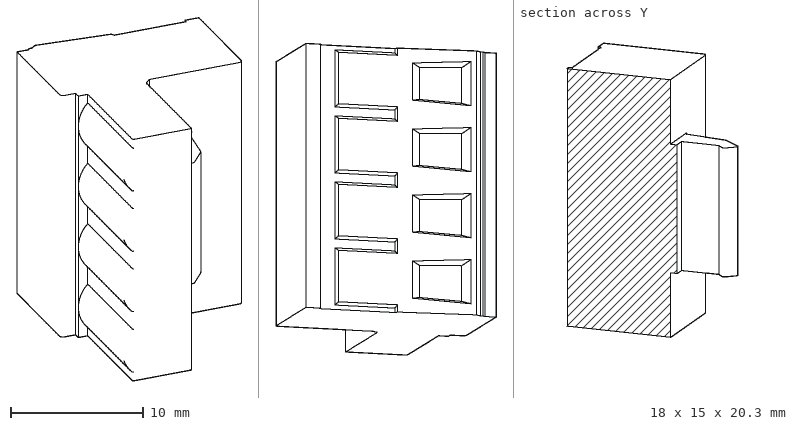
import cadquery as cq


pole_count = 4
pitch = 5.08
height = pole_count * pitch
overall_length = 18.0
body_width = 15.0

body_back_x = 0.5
body_front_x = 8.9
corner_radius = 0.3

recess_depth = 0.25
recess_x = body_back_x + recess_depth
recess_top_y = 13.85
recess_bottom_y = 7.93

wedge_top_y = 7.78
wedge_bottom_y = 1.7
ledge_x = 0.33
ledge_top_y = 1.3
ledge_bottom_y = 1.08
foot_y = 0.9

shoulder_x = 9.42
shoulder_bottom_y = 1.2
plug_bottom_y = 1.98
plug_top_y = 6.84
plug_root_chamfer = 0.45
plug_tip_radius = 0.15

rib_radius = 2.54
rib_bottom_y = 1.21

pad_top_y = 12.65
pad_height = 4.4
pad_bevel = 0.22

mouth_low_y = 2.14
mouth_high_y = 6.64
mouth_half_at_low = 1.7
mouth_half_at_high = 1.43
floor_low_y = 2.58
floor_high_y = 5.91
floor_half_at_low = 1.37
floor_half_at_high = 1.24
floor_x = 1.0

latch_width = 2 * pitch
latch_root_y = 10.5
latch_root_height = 0.45
latch_root_radius = 0.35
latch_underside_y = 8.45
latch_bend = (12.37, 10.05)
latch_tip = (14.02, 8.72)
latch_hook_end = (13.0, 7.88)
latch_hook_start_x = 12.45
latch_tip_radius = 0.25

pole_heights = [pitch * (i + 0.5) for i in range(pole_count)]


def wedge_x(y):
    """X of the sloping wedge face at a given Y."""
    return body_back_x * (y - wedge_bottom_y) / (wedge_top_y - wedge_bottom_y)


def fillet_corner(prism, corner, radius):
    """Round the edge along Z that stands nearest to an (x, y) corner."""
    nearest = cq.selectors.NearestToPointSelector((*corner, height / 2))
    return prism.edges("|Z").edges(nearest).fillet(radius)


def housing():
    """Body, wedge and plug tongue as one profile along Z."""
    plug_tip_corner = (overall_length, plug_bottom_y)
    outline = [
        (body_back_x, 0),
        (body_front_x, 0),
        (body_front_x, shoulder_bottom_y),
        (shoulder_x, shoulder_bottom_y),
        (shoulder_x, plug_bottom_y),
        plug_tip_corner,
        (overall_length, plug_top_y),
        (body_front_x + plug_root_chamfer, plug_top_y),
        (body_front_x, plug_top_y + plug_root_chamfer),
        (body_front_x, body_width),
        (body_back_x, body_width),
        (body_back_x, recess_top_y),
        (recess_x, recess_top_y),
        (recess_x, recess_bottom_y),
        (body_back_x, wedge_top_y),
        (0, wedge_bottom_y),
        (ledge_x, ledge_top_y),
        (ledge_x, ledge_bottom_y),
        (body_back_x, foot_y),
    ]
    prism = cq.Workplane("XY").polyline(outline).close().extrude(height)
    for corner_y in (0, body_width):
        prism = fillet_corner(prism, (body_front_x, corner_y), corner_radius)
    return fillet_corner(prism, plug_tip_corner, plug_tip_radius)


def rib(z):
    """Round rib along the plug, rounded at its tip, sunk into the tongue."""
    axis_y = rib_bottom_y + rib_radius
    length = overall_length - shoulder_x
    return (
        cq.Workplane("YZ", origin=(shoulder_x, axis_y, z))
        .circle(rib_radius)
        .extrude(length)
        .faces(">X")
        .fillet(plug_tip_radius)
    )


def screw_pad(z):
    """Raised pad in the recess, bevelled on its top and both ends, joined to the wedge."""
    half = pad_height / 2
    inner_half = half - pad_bevel

    def pad_wire(x, top_y, bottom_y, half_height):
        return cq.Wire.makePolygon(
            [
                cq.Vector(x, bottom_y, z - half_height),
                cq.Vector(x, top_y, z - half_height),
                cq.Vector(x, top_y, z + half_height),
                cq.Vector(x, bottom_y, z + half_height),
            ],
            close=True,
        )

    base = pad_wire(recess_x, pad_top_y, wedge_top_y, half)
    face = pad_wire(body_back_x, pad_top_y - pad_bevel, wedge_top_y, inner_half)
    return cq.Workplane(cq.Solid.makeLoft([base, face], True))


def wire_window(z):
    """Tapered pocket from the wedge face down to a flat floor."""

    def window_wire(low, high, low_half, high_half):
        return cq.Wire.makePolygon(
            [
                cq.Vector(*low, z - low_half),
                cq.Vector(*high, z - high_half),
                cq.Vector(*high, z + high_half),
                cq.Vector(*low, z + low_half),
            ],
            close=True,
        )

    mouth = window_wire(
        (wedge_x(mouth_low_y), mouth_low_y),
        (wedge_x(mouth_high_y), mouth_high_y),
        mouth_half_at_low,
        mouth_half_at_high,
    )
    floor = window_wire(
        (floor_x, floor_low_y),
        (floor_x, floor_high_y),
        floor_half_at_low,
        floor_half_at_high,
    )
    return cq.Workplane(cq.Solid.makeLoft([mouth, floor], True))


def latch():
    """Hooked latch arm above the plug, with its root wall on the body."""
    outline = [
        (body_front_x - corner_radius, plug_top_y),
        (shoulder_x, plug_top_y),
        (shoulder_x, latch_underside_y),
        (latch_hook_start_x, latch_underside_y),
        latch_hook_end,
        latch_tip,
        latch_bend,
        (body_front_x, latch_root_y),
        (body_front_x, latch_root_y + latch_root_height),
        (body_front_x - corner_radius, latch_root_y + latch_root_height),
    ]
    arm = (
        cq.Workplane("XY", origin=(0, 0, (height - latch_width) / 2))
        .polyline(outline)
        .close()
        .extrude(latch_width)
    )
    for corner in (latch_tip, latch_hook_end):
        arm = fillet_corner(arm, corner, latch_tip_radius)
    return fillet_corner(arm, (body_front_x, latch_root_y), latch_root_radius)


result = housing().union(latch())
for pole_z in pole_heights:
    result = result.union(rib(pole_z)).union(screw_pad(pole_z)).cut(wire_window(pole_z))